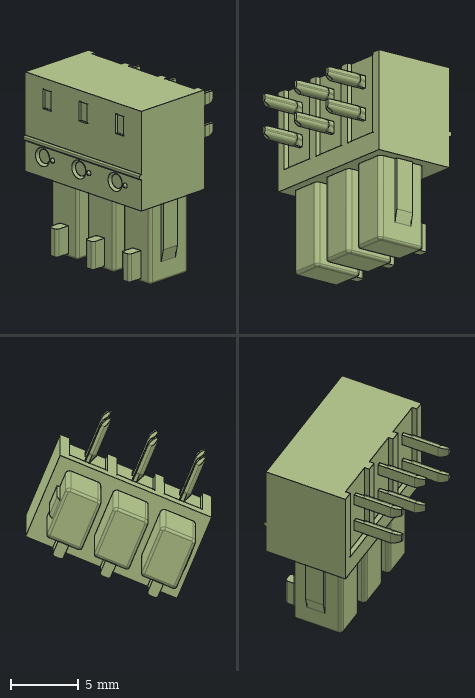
import cadquery as cq
import math


total_height = 14.5
pole_pitch = 3.81
pole_positions = [-pole_pitch, 0.0, pole_pitch]

housing_width = 12.22
housing_depth = 6.68
housing_height = 7.89
housing_bottom = total_height - housing_height

plug_width = 2.81
plug_depth = 4.07
plug_front = 1.83
plug_fillet = 0.22
plug_back_fillet = 0.32

tab_width = 0.85
tab_reach = 1.2
tab_bottom = 0.32
tab_height = 2.22
tab_fillet = 0.23

rail_depth = 1.5
rail_front = 2.99
rail_thickness = 0.22
rail_bottom = 1.61
rail_taper_top = 2.6

rib_reach = 0.17
rib_height = 0.4
rib_top = total_height - 5.0
rib_fillet = 0.12

window_width = tab_width
window_height = 1.55
window_depth = 0.22
window_top = total_height - 0.88
hole_offset = -0.46
hole_height = total_height - 6.3
hole_mouth_diameter = 1.46
hole_floor_diameter = 1.1
hole_depth = 0.22
bump_offset = 0.61
bump_radius = 0.2
bump_reach = rib_reach

recess_width = 3.06
recess_depth = 0.39
recess_height = 6.31
recess_floor = housing_depth - recess_depth

pin_left = -0.48
pin_thickness = 0.62
pin_half_height = 0.5
pin_round_depth = 0.35
pin_edge_half_flat = 0.06
upper_pin_drop = 1.88
lower_pin_drop = 4.42
pin_heights = [total_height - upper_pin_drop, total_height - lower_pin_drop]
pin_tip = housing_depth + 3.4

root_length = 0.72
root_round_depth = 0.03
root_half_height = 0.48
step_length = 0.1
step_start = recess_floor + root_length
step_end = step_start + step_length

nose_taper_length = 0.68
nose_half_height = 0.32
nose_curve_length = 0.74
nose_thickness = 0.26
nose_curve_mid_length = 0.26
nose_curve_mid_thickness = 0.46


def box(width, depth, height, x_center, y_front, z_bottom):
    """Box centred on x_center that starts at y_front and z_bottom."""
    return (
        cq.Workplane("XY")
        .box(width, depth, height, centered=(True, False, False))
        .translate((x_center, y_front, z_bottom))
    )


def make_housing():
    housing = box(housing_width, housing_depth, housing_height, 0, 0, housing_bottom)
    rib = box(housing_width, rib_reach, rib_height, 0, -rib_reach, rib_top - rib_height)
    rib = rib.faces("<Y").edges("|X").fillet(rib_fillet)
    return housing.union(rib)


def make_plug(x):
    """Rounded plug that hangs below the housing, with its coding tab."""
    plug = box(plug_width, plug_depth, housing_bottom, x, plug_front, 0)
    plug = plug.faces(">Y").edges("|Z").fillet(plug_back_fillet)
    plug = plug.faces("<Y").edges("|Z").fillet(plug_fillet)
    plug = plug.faces("<Z").edges().fillet(plug_fillet)
    tab = box(tab_width, tab_reach + plug_fillet, tab_height, x, plug_front - tab_reach, tab_bottom)
    tab = tab.faces("<Y").edges("|Z").fillet(tab_fillet)
    return plug.union(tab)


def make_rail(side):
    """Guide rail on one outer side; side is -1 for -X and +1 for +X."""
    inner = side * (pole_pitch + plug_width / 2)
    outer = inner + side * rail_thickness
    return (
        cq.Workplane("XZ", origin=(0, rail_front, 0))
        .moveTo(inner, rail_bottom)
        .lineTo(outer, rail_taper_top)
        .lineTo(outer, housing_bottom)
        .lineTo(inner, housing_bottom)
        .close()
        .extrude(-rail_depth)
    )


def make_window(x):
    return box(window_width, window_depth, window_height, x, 0, window_top - window_height)


def make_hole(x):
    """Tapered blind hole in the front face."""
    return (
        cq.Workplane("XZ", origin=(x + hole_offset, 0, hole_height))
        .circle(hole_mouth_diameter / 2)
        .workplane(offset=-hole_depth)
        .circle(hole_floor_diameter / 2)
        .loft()
    )


def make_bump(x):
    center = (x + bump_offset, bump_radius - bump_reach, hole_height)
    return cq.Workplane("XY").sphere(bump_radius).translate(center)


def make_recess(x):
    return box(recess_width, recess_depth, recess_height, x, recess_floor, total_height - recess_height)


def pin_section(y, round_depth, half_height):
    """Closed D-shaped wire across the pin at y; its flat side stays at X = pin_thickness."""
    shoulder = pin_round_depth
    apex = shoulder - round_depth
    rise = half_height - pin_edge_half_flat
    arc_radius = (round_depth**2 + rise**2) / (2 * round_depth)
    half_angle = math.asin(rise / arc_radius) / 2
    arc_mid_x = apex + arc_radius * (1 - math.cos(half_angle))
    arc_mid_z = pin_edge_half_flat + arc_radius * math.sin(half_angle)
    return (
        cq.Workplane("XZ", origin=(0, y, 0))
        .moveTo(apex, -pin_edge_half_flat)
        .lineTo(apex, pin_edge_half_flat)
        .threePointArc((arc_mid_x, arc_mid_z), (shoulder, half_height))
        .lineTo(pin_thickness, half_height)
        .lineTo(pin_thickness, -half_height)
        .lineTo(shoulder, -half_height)
        .threePointArc((arc_mid_x, -arc_mid_z), (apex, -pin_edge_half_flat))
        .close()
    )


def loft_between(first, second):
    wires = [first.val(), second.val()]
    return cq.Workplane(cq.Solid.makeLoft(wires, True))


def make_nose_envelope():
    """Space that the pin tip fills: tapered in Z, curved away on the +X side."""
    side_profile = (
        cq.Workplane("YZ")
        .moveTo(recess_floor, -pin_half_height)
        .lineTo(pin_tip - nose_taper_length, -pin_half_height)
        .lineTo(pin_tip, -nose_half_height)
        .lineTo(pin_tip, nose_half_height)
        .lineTo(pin_tip - nose_taper_length, pin_half_height)
        .lineTo(recess_floor, pin_half_height)
        .close()
        .extrude(pin_thickness)
    )
    curve_mid = (nose_curve_mid_thickness, pin_tip - nose_curve_mid_length)
    top_profile = (
        cq.Workplane("XY")
        .moveTo(0, recess_floor)
        .lineTo(pin_thickness, recess_floor)
        .lineTo(pin_thickness, pin_tip - nose_curve_length)
        .threePointArc(curve_mid, (nose_thickness, pin_tip))
        .lineTo(0, pin_tip)
        .close()
        .extrude(pin_half_height, both=True)
    )
    return side_profile.intersect(top_profile)


def make_pin():
    """Pin along +Y with its rounded edge at X = 0 and its mid-height at Z = 0."""
    shank = pin_section(step_end, pin_round_depth, pin_half_height).extrude(step_end - pin_tip)
    step = loft_between(
        pin_section(step_start, pin_round_depth, root_half_height),
        pin_section(step_end, pin_round_depth, pin_half_height),
    )
    root = loft_between(
        pin_section(recess_floor, root_round_depth, root_half_height),
        pin_section(step_start, pin_round_depth, root_half_height),
    )
    return shank.intersect(make_nose_envelope()).union(step).union(root)


result = make_housing()
for side in (-1, 1):
    result = result.union(make_rail(side))

pin = make_pin()
for x in pole_positions:
    result = result.union(make_plug(x)).union(make_bump(x))
    result = result.cut(make_window(x)).cut(make_hole(x)).cut(make_recess(x))
    for z in pin_heights:
        result = result.union(pin.translate((x + pin_left, 0, z)))